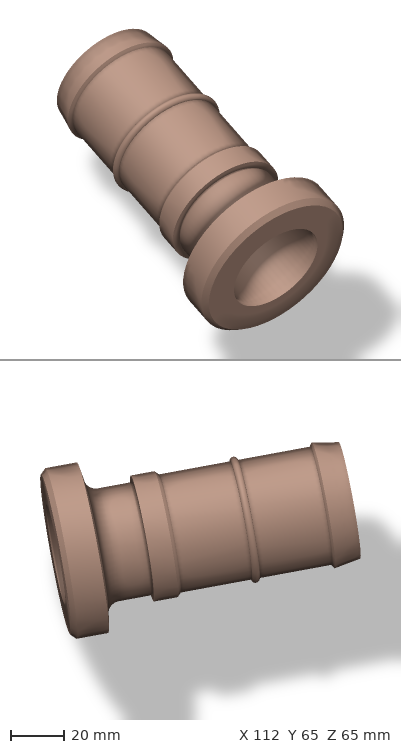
import cadquery as cq
import math


overall_length = 112.0
bore_radius = 38.0 / 2
joint_x = 79.0

tail_radius = 45.0 / 2
crest_radius = 48.0 / 2
tip_radius = 44.4 / 2
barb_length = 10.0
barb_back_length = 1.0
rib_x = 40.0
rib_round = crest_radius - tail_radius
collar_length = 9.0
collar_chamfer = crest_radius - tail_radius
collar_x = joint_x - collar_length

neck_radius = 43.0 / 2
neck_chamfer_length = 1.0
neck_end_radius = 42.0 / 2
flange_radius = 65.0 / 2
flange_rim_length = 14.0
flange_front_x = overall_length - flange_rim_length
flange_chamfer = 2.0
neck_fillet = 5.0
flange_slope = math.radians(10.0)


def turn(profile):
    """Revolve a closed (x, radius) profile about the X axis."""
    return profile.close().revolve(360, (0, 0, 0), (1, 0, 0))


def make_hose_tail():
    profile = (
        cq.Workplane("XY")
        .moveTo(0, bore_radius)
        .lineTo(0, tip_radius)
        .lineTo(barb_length, crest_radius)
        .lineTo(barb_length + barb_back_length, tail_radius)
        .lineTo(rib_x - rib_round, tail_radius)
        .threePointArc((rib_x, crest_radius), (rib_x + rib_round, tail_radius))
        .lineTo(collar_x - collar_chamfer, tail_radius)
        .lineTo(collar_x, crest_radius)
        .lineTo(joint_x, crest_radius)
        .lineTo(joint_x, bore_radius)
    )
    return turn(profile)


def make_flanged_liner():
    turn_angle = math.pi / 2 - flange_slope
    fillet_end_radius = neck_radius + neck_fillet * (1 - math.cos(turn_angle))
    fillet_end_x = flange_front_x - (flange_radius - fillet_end_radius) * math.tan(flange_slope)
    fillet_x = fillet_end_x - neck_fillet * math.sin(turn_angle)
    fillet_middle = (
        fillet_x + neck_fillet * math.sin(turn_angle / 2),
        neck_radius + neck_fillet * (1 - math.cos(turn_angle / 2)),
    )

    profile = (
        cq.Workplane("XY")
        .moveTo(joint_x, bore_radius)
        .lineTo(joint_x, neck_end_radius)
        .lineTo(joint_x + neck_chamfer_length, neck_radius)
        .lineTo(fillet_x, neck_radius)
        .threePointArc(fillet_middle, (fillet_end_x, fillet_end_radius))
        .lineTo(flange_front_x, flange_radius)
        .lineTo(overall_length - flange_chamfer, flange_radius)
        .lineTo(overall_length, flange_radius - flange_chamfer)
        .lineTo(overall_length, bore_radius)
    )
    return turn(profile)


hose_tail = make_hose_tail()
flanged_liner = make_flanged_liner()

result = cq.Compound.makeCompound([hose_tail.val(), flanged_liner.val()])